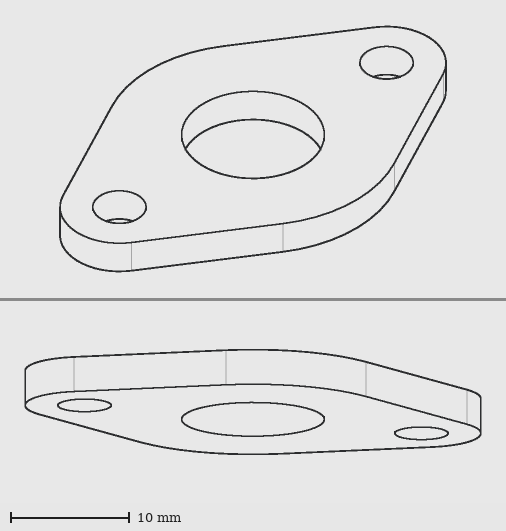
import cadquery as cq
import math

length = 40.0
width = 25.0
thickness = 3.0
end_radius = 5.0
bore_diameter = 12.0
bolt_hole_diameter = 4.5

side_radius = width / 2
bolt_offset = length / 2 - end_radius

tangent_angle = math.asin((side_radius - end_radius) / bolt_offset)
side_x = side_radius * math.cos(tangent_angle)
side_y = side_radius * math.sin(tangent_angle)
end_x = end_radius * math.cos(tangent_angle)
end_y = bolt_offset + end_radius * math.sin(tangent_angle)

plate = (
    cq.Workplane("XY")
    .moveTo(side_x, -side_y)
    .threePointArc((side_radius, 0), (side_x, side_y))
    .lineTo(end_x, end_y)
    .threePointArc((0, length / 2), (-end_x, end_y))
    .lineTo(-side_x, side_y)
    .threePointArc((-side_radius, 0), (-side_x, -side_y))
    .lineTo(-end_x, -end_y)
    .threePointArc((0, -length / 2), (end_x, -end_y))
    .close()
    .extrude(thickness)
)

bored_plate = plate.faces(">Z").workplane(origin=(0, 0, thickness)).hole(bore_diameter)
result = (
    bored_plate.faces(">Z")
    .workplane(origin=(0, 0, thickness))
    .pushPoints([(0, -bolt_offset), (0, bolt_offset)])
    .hole(bolt_hole_diameter)
)